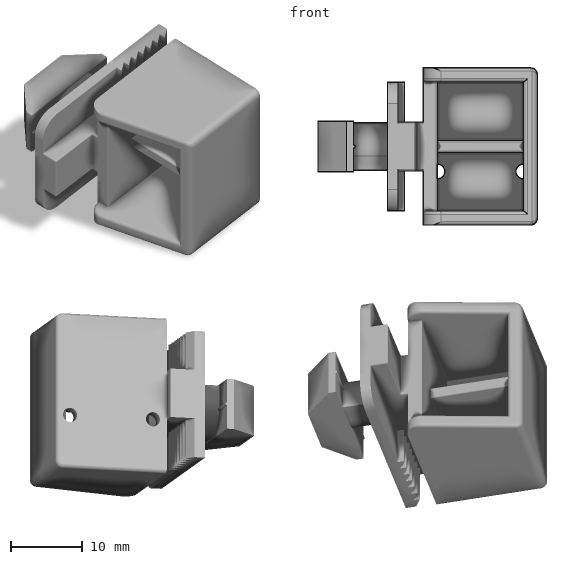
import cadquery as cq
import math


plate_length = 26.0
plate_height = 18.0
plate_thickness = 1.5
plate_corner_radius = 3.0
tooth_count = 7
tooth_pitch = 1.5
tooth_depth = 0.92

stem_height = 6.9
stem_reach = 5.0
stem_toe_reach = 4.0
small_fillet = 0.2

lock_center_y = -13.5
neck_length = 4.7
neck_width = 7.95
neck_height = 6.7
neck_corner_radius = 4.67
head_thickness = 5.0
head_length = 15.78
head_height = 7.1
head_bevel = 4.0
ridge_radius = 0.2

box_width = 16.0
box_height = 22.0
box_back_y = -2.0
box_left_depth = 19.05
mouth_angle = math.radians(15)
wall = 2.0
mouth_corner_radius = 2.0
side_fillet = 1.0
rim_fillet = 0.5
wall_end_fillet = 0.18

shelf_height = 1.7
shelf_depth = 9.42
hole_radius = 1.0
hole_z = -3.5

pick_margin = 0.3

box_left_x = stem_reach
box_right_x = box_left_x + box_width
cavity_left_x = box_left_x + wall
cavity_right_x = box_right_x - wall
cavity_back_y = box_back_y - wall
cavity_height = box_height - 2 * wall
mouth_left_y = box_back_y - box_left_depth
mouth_right_y = mouth_left_y + box_width * math.tan(mouth_angle)
mouth_corner_setback = mouth_corner_radius * math.tan((math.pi / 2 + mouth_angle) / 2)
step_y = mouth_left_y + mouth_corner_setback


def block(x_range, y_range, height):
    """Box between two X and two Y places, centred on Z = 0."""
    (x0, x1), (y0, y1) = x_range, y_range
    return (
        cq.Workplane("XY")
        .box(x1 - x0, y1 - y0, height)
        .translate(((x0 + x1) / 2, (y0 + y1) / 2, 0))
    )


def prism(points, height):
    """Closed XY outline extruded equally to both sides of Z = 0."""
    return cq.Workplane("XY").polyline(points).close().extrude(height / 2, both=True)


def make_plate():
    plate = block((0, plate_thickness), (-plate_length, 0), plate_height)
    plate = plate.edges("|X and <Y").fillet(plate_corner_radius)
    for i in range(tooth_count):
        root_y = -i * tooth_pitch
        tip_y = root_y - tooth_pitch
        tooth = [
            (0, root_y),
            (plate_thickness, root_y),
            (plate_thickness + tooth_depth, tip_y),
            (0, tip_y),
        ]
        plate = plate.union(prism(tooth, plate_height))
    return plate


def make_stem():
    outline = [
        (0, 0),
        (stem_reach, 0),
        (stem_reach, step_y),
        (stem_toe_reach, step_y),
        (stem_toe_reach, -plate_length),
        (0, -plate_length),
    ]
    stem = prism(outline, stem_height)
    toe_corners = cq.selectors.BoxSelector(
        (stem_toe_reach - pick_margin, -plate_length - pick_margin, -pick_margin),
        (stem_toe_reach + pick_margin, step_y + pick_margin, pick_margin),
    )
    stem = stem.edges("|Z").edges(toe_corners).fillet(small_fillet)
    rims = cq.selectors.BoxSelector(
        (plate_thickness / 2, -plate_length - pick_margin, -stem_height),
        (stem_reach - pick_margin, step_y + pick_margin, stem_height),
    )
    return stem.edges("#Z").edges(rims).fillet(small_fillet)


def make_neck():
    neck = block(
        (-neck_length, 0),
        (lock_center_y - neck_width / 2, lock_center_y + neck_width / 2),
        neck_height,
    )
    neck = neck.edges("|X and <Y and >Z").fillet(neck_corner_radius)
    return neck.edges("|X and >Y and <Z").fillet(neck_corner_radius)


def make_head():
    inner_x = -neck_length
    outer_x = inner_x - head_thickness
    low_y = lock_center_y - head_length / 2
    high_y = lock_center_y + head_length / 2
    head = block((outer_x, inner_x), (low_y, high_y), head_height)
    head = head.edges("|Z and <X").chamfer(head_bevel)
    ridge = (
        cq.Workplane("XZ", origin=(inner_x, high_y, 0)).circle(ridge_radius).extrude(head_length)
    )
    return head.union(ridge)


def box_outline():
    return [
        (box_left_x, box_back_y),
        (box_right_x, box_back_y),
        (box_right_x, mouth_right_y),
        (box_left_x, mouth_left_y),
    ]


def mouth_edges(body):
    """Long straight edges of the slanted mouth, at the top and the bottom."""
    middle_x = (box_left_x + box_right_x) / 2
    middle_y = (mouth_left_y + mouth_right_y) / 2
    picker = cq.selectors.BoxSelector(
        (middle_x - wall, middle_y - wall, -box_height),
        (middle_x + wall, middle_y + wall, box_height),
    )
    return body.edges(picker)


def make_box_body():
    """Solid box with its outer edges rounded and the left mouth corner turned."""
    body = prism(box_outline(), box_height)
    body = body.faces(">X").edges("|Y or <Y").fillet(side_fillet)
    body = mouth_edges(body).fillet(rim_fillet)
    body = body.faces(">Y").edges("not(<X)").fillet(rim_fillet)
    corner_limit = prism(box_outline(), box_height)
    corner_limit = corner_limit.edges("|Z and <Y").fillet(mouth_corner_radius)
    return body.intersect(corner_limit)


def make_cavity(left_x):
    """Hollow from the mouth to the back wall, reaching left as far as left_x."""
    cavity = block((left_x, cavity_right_x), (mouth_left_y, cavity_back_y), cavity_height)
    return cavity.faces(">Y").edges().fillet(small_fillet)


def add_shelf(box):
    """Shelf across the cavity, its front edges and wall joints all rounded."""
    front_y = cavity_back_y - shelf_depth
    x_range = (cavity_left_x, cavity_right_x)
    box = box.union(block(x_range, (front_y, cavity_back_y), shelf_height))
    shelf_edges = cq.selectors.BoxSelector(
        (cavity_left_x - small_fillet, front_y - small_fillet, -shelf_height),
        (cavity_right_x + small_fillet, cavity_back_y + small_fillet, shelf_height),
        boundingbox=True,
    )
    return box.edges(shelf_edges).fillet(small_fillet)


def make_left_wall(body):
    """Left wall, which stops short of the mouth, level with the step of the stem."""
    x_range = (box_left_x, cavity_left_x + small_fillet)
    left_wall = body.intersect(block(x_range, (step_y, 0), box_height))
    left_wall = left_wall.cut(make_cavity(cavity_left_x))
    inner_end = cq.selectors.NearestToPointSelector((cavity_left_x, step_y, 0))
    return left_wall.edges(inner_end).fillet(small_fillet)


def make_box():
    body = make_box_body()

    box = body.cut(make_cavity(box_left_x - wall))
    right_edge = cq.selectors.NearestToPointSelector((cavity_right_x, mouth_right_y, 0))
    mouth_rim = mouth_edges(box).add(box.edges(right_edge))
    box = mouth_rim.fillet(rim_fillet)

    box = box.union(make_left_wall(body))
    wall_end = cq.selectors.BoxSelector(
        (box_left_x, step_y - small_fillet, -box_height / 2),
        (cavity_left_x, step_y + small_fillet, box_height / 2),
    )
    box = box.edges(wall_end).edges("|X").fillet(wall_end_fillet)

    box = add_shelf(box)
    for hole_x in (cavity_left_x, cavity_right_x):
        hole = (
            cq.Workplane("XZ", origin=(hole_x, box_back_y, hole_z))
            .circle(hole_radius)
            .extrude(wall + small_fillet)
        )
        box = box.cut(hole)
    return box


result = make_plate().union(make_stem()).union(make_neck()).union(make_head()).union(make_box())